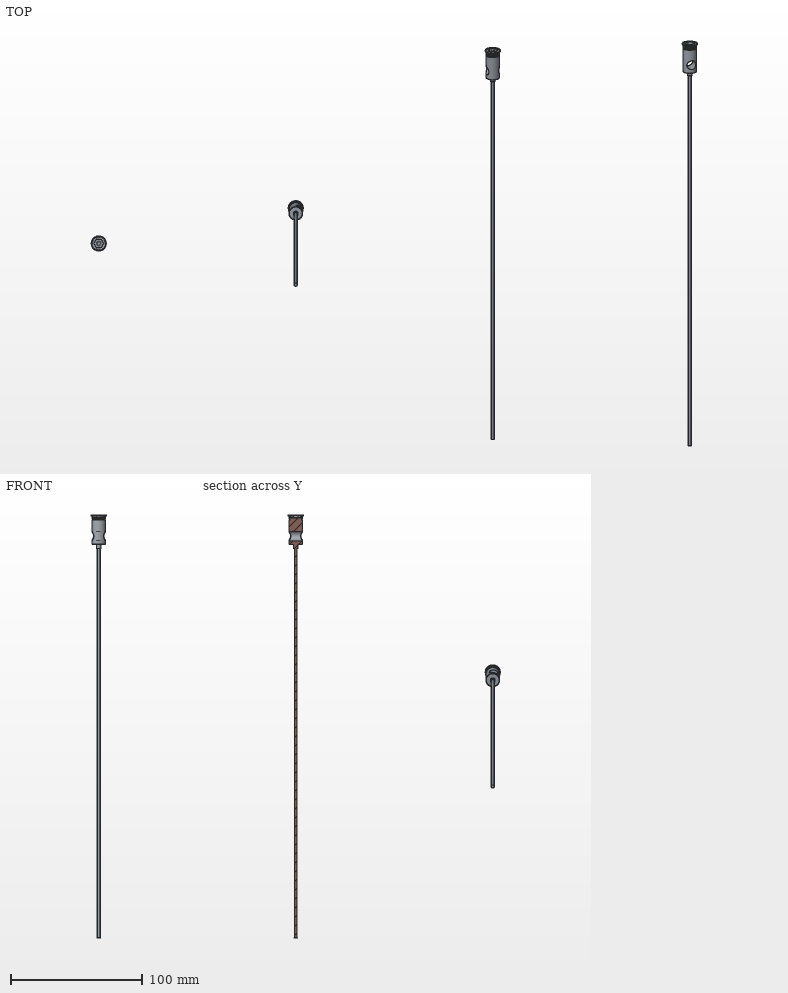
import cadquery as cq

rod_diameter = 2.5
rod_length = 300.0
collar_diameter = 3.5
collar_length = 3.0

head_diameter = 10.5
head_length = 22.5
head_bottom_chamfer = 0.3
cap_diameter = 11.5
cap_thickness = 0.6

groove_floor_diameter = 9.5
neck_length = 1.1
upper_groove_width = 0.3
land_width = 0.5
lower_groove_width = 0.85

cross_hole_diameter = 7.0
cross_hole_height = 6.5
socket_across_flats = 6.4
socket_depth = 2.0

rod_radius = rod_diameter / 2
collar_radius = collar_diameter / 2
head_radius = head_diameter / 2
cap_radius = cap_diameter / 2
groove_radius = groove_floor_diameter / 2

cap_bottom = head_length - cap_thickness
upper_groove_top = cap_bottom - neck_length
upper_groove_bottom = upper_groove_top - upper_groove_width
lower_groove_top = upper_groove_bottom - land_width
lower_groove_bottom = lower_groove_top - lower_groove_width
cone_bottom = lower_groove_bottom - (head_radius - groove_radius)


def make_turned_body():
    """Rod, collar, grooved head and cap as one revolved half section."""
    section = (
        cq.Workplane("XZ")
        .moveTo(0, -rod_length)
        .lineTo(rod_radius, -rod_length)
        .lineTo(rod_radius, -collar_length)
        .lineTo(collar_radius, -collar_length)
        .lineTo(collar_radius, 0)
        .lineTo(head_radius - head_bottom_chamfer, 0)
        .lineTo(head_radius, head_bottom_chamfer)
        .lineTo(head_radius, cone_bottom)
        .lineTo(groove_radius, lower_groove_bottom)
        .lineTo(groove_radius, lower_groove_top)
        .lineTo(head_radius, lower_groove_top)
        .lineTo(head_radius, upper_groove_bottom)
        .lineTo(groove_radius, upper_groove_bottom)
        .lineTo(groove_radius, upper_groove_top)
        .lineTo(head_radius, upper_groove_top)
        .lineTo(head_radius, cap_bottom)
        .lineTo(cap_radius, cap_bottom)
        .lineTo(cap_radius, head_length)
        .lineTo(0, head_length)
        .close()
    )
    return section.revolve(360, (0, 0, 0), (0, 1, 0))


def make_cross_hole():
    """Round hole along X, right through the head."""
    axis = cq.Workplane("YZ").center(0, cross_hole_height)
    return axis.circle(cross_hole_diameter / 2).extrude(head_diameter, both=True)


def make_socket():
    """Hexagon socket in the cap, with two corners on the Y axis."""
    mouth = cq.Workplane("XY").workplane(offset=head_length)
    hexagon = mouth.transformed(rotate=(0, 0, 90)).polygon(
        6, socket_across_flats, circumscribed=True
    )
    return hexagon.extrude(-socket_depth)


result = make_turned_body().cut(make_cross_hole()).cut(make_socket())